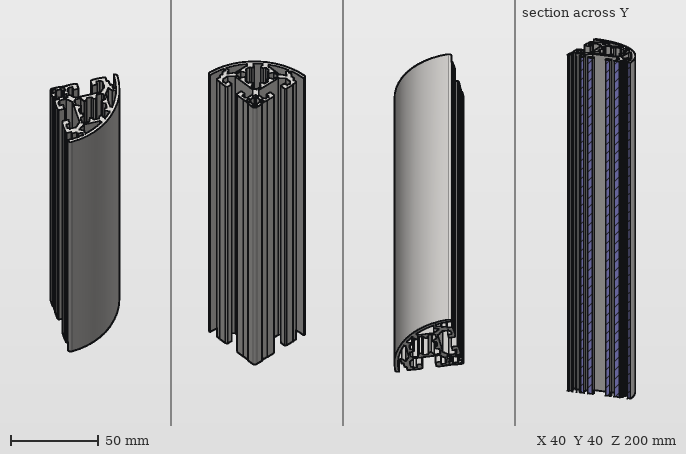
import cadquery as cq
import math


LENGTH = 200.0
SIZE = 40.0
SKIN_THICKNESS = 2.0
SKIN_INNER_RADIUS = SIZE - SKIN_THICKNESS
CORNER_ROUND = 1.6
DIAGONAL_NORMAL = cq.Vector(1, -1, 0)

SLOT_CENTRE = SIZE / 2
SLOT_OPENING = 8.0
SLOT_INNER_WIDTH = 21.0
SLOT_DEPTH = 10.0
SLOT_FLOOR_CHAMFER = 3.0
SLOT_LOWER_CHAMFER = 1.2
LIP_THICKNESS = 2.1
LIP_HOOK_HEIGHT = 4.3
LIP_HOOK_WIDTH = 3.1
LIP_CHAMFER_LENGTH = 1.1
LIP_CHAMFER_DEPTH = 0.7

PAD_WIDTH = 5.8
LIP_RECESS = 0.2
WEB_RECESS = 0.35
LIP_SPAN = 20.0

GAP_STEP_FACE = 33.0
GAP_STEP_WIDTH = 1.1
GAP_STEP_HEIGHT = 3.05
GAP_STEP_CHAMFER = 0.5
GAP_STEP_COUNT = 3
SKIN_TIP_ROUND = 1.6

CORE_CENTRE = SIZE / 2
CORE_WIDTH = 17.4
CORE_CHAMFER = 0.8
CORE_BORE_RADIUS = 6.9
CORE_PAD_HEIGHT = 0.75
RIB_BASE_OUTER = 4.8
RIB_TIP_OUTER = 3.4
RIB_TIP_INNER = 2.0
RIB_BASE_INNER = 1.4

PORT_CENTRE = 4.65
PORT_WIDTH = 7.2
PORT_RIB_WIDTH = 2.8
PORT_BORE_RADIUS = 2.7

CHAMBER_WALL = 29.9
CHAMBER_WALL_BASE = 12.0
CHAMBER_TIP = (32.5, 8.4)
CHAMBER_SHOULDER = (34.2, 11.0)
CHAMBER_WALL_TOP = 21.4
CHAMBER_SKIN_TOP = 22.1


def on_skin(y):
    """Point of the skin's inner arc at height y."""
    return (math.sqrt(SKIN_INNER_RADIUS**2 - y**2), y)


def prism(points):
    return cq.Workplane("XY").polyline(points).close().extrude(LENGTH)


def cylinder(radius, centre=0.0):
    return cq.Workplane("XY").center(centre, centre).circle(radius).extrude(LENGTH)


def square_prism(width, centre):
    return cq.Workplane("XY").center(centre, centre).rect(width, width).extrude(LENGTH)


def quarter_round():
    middle = SIZE * math.sqrt(0.5)
    blank = (
        cq.Workplane("XY")
        .lineTo(SIZE, 0)
        .threePointArc((middle, middle), (0, SIZE))
        .close()
        .extrude(LENGTH)
    )
    rounds = [
        ((0, 0), CORNER_ROUND),
        ((SIZE, 0), SKIN_TIP_ROUND),
        ((0, SIZE), SKIN_TIP_ROUND),
    ]
    for (x, y), radius in rounds:
        nearest = cq.selectors.NearestToPointSelector((x, y, LENGTH / 2))
        blank = blank.edges("|Z").edges(nearest).fillet(radius)
    return blank


def slot_cut():
    """T-slot open to the -Y face."""
    mouth = SLOT_OPENING / 2
    hook = mouth + LIP_HOOK_WIDTH
    inner = SLOT_INNER_WIDTH / 2
    half = [
        (mouth + LIP_CHAMFER_LENGTH, 0),
        (mouth + LIP_CHAMFER_LENGTH, LIP_RECESS),
        (mouth, LIP_RECESS + LIP_CHAMFER_DEPTH),
        (mouth, LIP_HOOK_HEIGHT),
        (hook, LIP_HOOK_HEIGHT),
        (hook, LIP_THICKNESS),
        (inner - SLOT_LOWER_CHAMFER, LIP_THICKNESS),
        (inner, LIP_THICKNESS + SLOT_LOWER_CHAMFER),
        (inner, SLOT_DEPTH - SLOT_FLOOR_CHAMFER),
        (inner - SLOT_FLOOR_CHAMFER, SLOT_DEPTH),
    ]
    right = [(SLOT_CENTRE + x, y) for x, y in half]
    left = [(SLOT_CENTRE - x, y) for x, y in reversed(half)]
    return prism(right + left)


def recess_cut():
    """Shallow step-back of the -Y face beyond the corner pad."""
    lip_start = SLOT_CENTRE - LIP_SPAN / 2
    lip_end = SLOT_CENTRE + LIP_SPAN / 2
    return prism(
        [
            (PAD_WIDTH, 0),
            (PAD_WIDTH, WEB_RECESS),
            (lip_start, WEB_RECESS),
            (lip_start, LIP_RECESS),
            (lip_end, LIP_RECESS),
            (lip_end, WEB_RECESS),
            (GAP_STEP_FACE, WEB_RECESS),
            (GAP_STEP_FACE, 0),
        ]
    )


def gap_cut():
    """Gap beside the skin, bounded by a staircase with chamfered steps."""
    stairs = [(GAP_STEP_FACE - GAP_STEP_CHAMFER, 0)]
    for i in range(GAP_STEP_COUNT):
        face = GAP_STEP_FACE + i * GAP_STEP_WIDTH
        base = WEB_RECESS + i * GAP_STEP_HEIGHT
        stairs.append((face - GAP_STEP_CHAMFER, base))
        stairs.append((face, base + GAP_STEP_CHAMFER))
        stairs.append((face, base + GAP_STEP_HEIGHT))
    top = WEB_RECESS + GAP_STEP_COUNT * GAP_STEP_HEIGHT
    stairs += [(SIZE, top), (SIZE, 0)]
    return prism(stairs).intersect(cylinder(SKIN_INNER_RADIUS))


def chamber_cut():
    """Closed chamber on the +X side of the large core."""
    skin_low = on_skin(CHAMBER_SHOULDER[1])
    skin_high = on_skin(CHAMBER_SKIN_TOP)
    skin_middle = on_skin((skin_low[1] + skin_high[1]) / 2)
    return (
        cq.Workplane("XY")
        .moveTo(CHAMBER_WALL, CHAMBER_WALL_TOP)
        .lineTo(CHAMBER_WALL, CHAMBER_WALL_BASE)
        .lineTo(*CHAMBER_TIP)
        .lineTo(*CHAMBER_SHOULDER)
        .lineTo(*skin_low)
        .threePointArc(skin_middle, skin_high)
        .close()
        .extrude(LENGTH)
    )


def around(shape, centre):
    """The shape repeated at the four sides of a core."""
    axis_start = (centre, centre, 0)
    axis_end = (centre, centre, 1)
    return [shape.rotate(axis_start, axis_end, 90 * i) for i in range(4)]


def tip_height(x):
    """Height below the core centre of the bore at offset x."""
    return -math.sqrt(CORE_BORE_RADIUS**2 - x**2)


def core_ribs():
    """Pair of ribs on the -Y side of the large core, with the pad between them."""
    wall = -CORE_WIDTH / 2
    pad = wall + CORE_PAD_HEIGHT
    half = [
        (RIB_BASE_INNER, pad),
        (RIB_TIP_INNER, tip_height(RIB_TIP_INNER)),
        (RIB_TIP_OUTER, tip_height(RIB_TIP_OUTER)),
        (RIB_BASE_OUTER, wall),
    ]
    right = [(CORE_CENTRE + x, CORE_CENTRE + y) for x, y in half]
    left = [(CORE_CENTRE - x, CORE_CENTRE + y) for x, y in reversed(half)]
    ribs = prism(right + left)
    return ribs.cut(cylinder(CORE_BORE_RADIUS, CORE_CENTRE))


def core_cut():
    """Chamfered square cavity, trimmed by the skin and ribbed on four sides."""
    core = square_prism(CORE_WIDTH, CORE_CENTRE).edges("|Z").chamfer(CORE_CHAMFER)
    core = core.intersect(cylinder(SKIN_INNER_RADIUS))
    for ribs in around(core_ribs(), CORE_CENTRE):
        core = core.cut(ribs)
    return core


def port_cut():
    """Square cavity with one concave-tipped rib on each side."""
    half_rib = PORT_RIB_WIDTH / 2
    left = PORT_CENTRE - half_rib
    right = PORT_CENTRE + half_rib
    wall = PORT_CENTRE - PORT_WIDTH / 2
    rib = prism([(left, wall), (right, wall), (right, PORT_CENTRE), (left, PORT_CENTRE)])
    rib = rib.cut(cylinder(PORT_BORE_RADIUS, PORT_CENTRE))
    port = square_prism(PORT_WIDTH, PORT_CENTRE)
    for side_rib in around(rib, PORT_CENTRE):
        port = port.cut(side_rib)
    return port


def build():
    """Quarter round less its cavities, the paired ones mirrored about the diagonal."""
    profile = quarter_round().cut(core_cut()).cut(port_cut())
    paired_cuts = [slot_cut(), recess_cut(), gap_cut(), chamber_cut()]
    for cutter in paired_cuts:
        profile = profile.cut(cutter).cut(cutter.mirror(DIAGONAL_NORMAL))
    return profile


result = build()